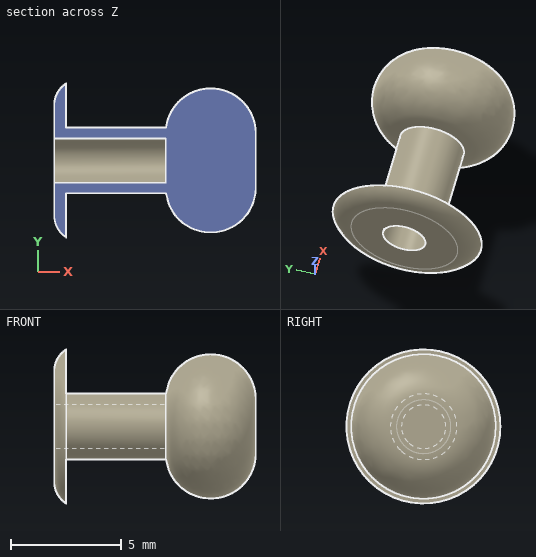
import cadquery as cq
import math

total_length = 9.16
flange_thickness = 0.55
flange_radius = 3.5
flange_face_radius = 2.5
shank_radius = 1.5
head_length = 4.1
head_radius = 3.28
hole_radius = 1.0

head_start = total_length - head_length
head_middle = total_length - head_length / 2
head_round = head_length / 2
head_round_center = head_radius - head_round
shank_rise = shank_radius - head_round_center
shank_end = head_middle - math.sqrt(head_round**2 - shank_rise**2)
hole_depth = head_start


def turned_body():
    """Revolve the half outline of flange, shank and rounded head."""
    outline = (
        cq.Workplane("XY")
        .lineTo(0, flange_face_radius)
        .tangentArcPoint((flange_thickness, flange_radius), relative=False)
        .lineTo(flange_thickness, shank_radius)
        .lineTo(shank_end, shank_radius)
        .threePointArc((head_middle, head_radius), (total_length, head_round_center))
        .lineTo(total_length, 0)
        .close()
    )
    return outline.revolve(360, (0, 0, 0), (1, 0, 0))


def blind_hole():
    """Cylinder entering from the flange face along the axis."""
    return cq.Workplane("YZ").circle(hole_radius).extrude(hole_depth)


result = turned_body().cut(blind_hole())